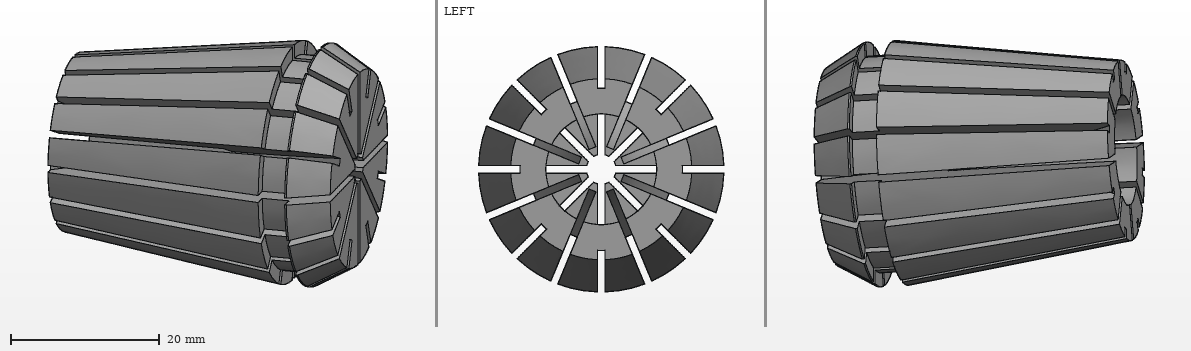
import cadquery as cq
import math

LENGTH = 40.0
MAX_RADIUS = 16.5
BODY_TAPER = 8.0
NOSE_TAPER = 30.0
BODY_END = 30.8
GROOVE_END = 34.5
GROOVE_RADIUS = 14.6
RIM_WIDTH = 0.25

RELIEF_RADIUS = 7.45
RELIEF_DEPTH = 23.0
GRIP_RADIUS = 2.0

SLOTS_PER_END = 8
SLOT_WIDTH = 1.0
SAW_RADIUS = 40.0
WIDE_END_FLOOR = 1.5
WIDE_END_EXIT = 10.9
NARROW_END_FLOOR = 2.7
NARROW_END_EXIT = 9.7

OVERCUT = 2.0


def make_body():
    narrow_radius = MAX_RADIUS - BODY_END * math.tan(math.radians(BODY_TAPER))
    nose_start = GROOVE_END + RIM_WIDTH
    wide_radius = MAX_RADIUS - (LENGTH - nose_start) * math.tan(math.radians(NOSE_TAPER))
    half_section = [
        (0, RELIEF_RADIUS),
        (0, narrow_radius),
        (BODY_END, MAX_RADIUS),
        (BODY_END, GROOVE_RADIUS),
        (GROOVE_END, GROOVE_RADIUS),
        (GROOVE_END, MAX_RADIUS),
        (nose_start, MAX_RADIUS),
        (LENGTH, wide_radius),
        (LENGTH, GRIP_RADIUS),
        (RELIEF_DEPTH, GRIP_RADIUS),
        (RELIEF_DEPTH, RELIEF_RADIUS),
    ]
    return cq.Workplane("XY").polyline(half_section).close().revolve(360, (0, 0, 0), (1, 0, 0))


def make_slot(floor_radius, exit_radius):
    """Slot in the XZ plane, open at x = 0, with its arc leaving the part at x = LENGTH."""
    centre_height = floor_radius + SAW_RADIUS
    arc_run = math.sqrt(SAW_RADIUS**2 - (centre_height - exit_radius) ** 2)
    centre_x = LENGTH - arc_run
    top = MAX_RADIUS + OVERCUT

    def arc_point(height):
        return centre_x + math.sqrt(SAW_RADIUS**2 - (centre_height - height) ** 2), height

    return (
        cq.Workplane("XZ")
        .moveTo(-OVERCUT, floor_radius)
        .lineTo(centre_x, floor_radius)
        .threePointArc(arc_point(exit_radius), arc_point(top))
        .lineTo(-OVERCUT, top)
        .close()
        .extrude(SLOT_WIDTH / 2, both=True)
    )


def cut_slots(part, slot, first_angle):
    for index in range(SLOTS_PER_END):
        angle = first_angle + index * 360 / SLOTS_PER_END
        part = part.cut(slot.rotate((0, 0, 0), (1, 0, 0), angle))
    return part


narrow_end_slot = make_slot(NARROW_END_FLOOR, NARROW_END_EXIT)
wide_end_slot = make_slot(WIDE_END_FLOOR, WIDE_END_EXIT).mirror("YZ").translate((LENGTH, 0, 0))

result = make_body()
result = cut_slots(result, wide_end_slot, 0)
result = cut_slots(result, narrow_end_slot, 180 / SLOTS_PER_END)